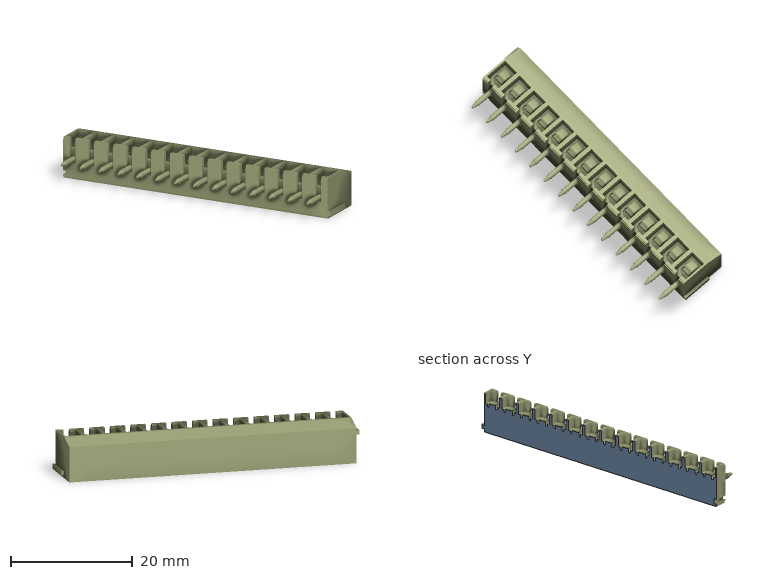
import cadquery as cq


OVERALL_LENGTH = 50.0
POLE_COUNT = 14
PITCH = 3.5
LENGTH = POLE_COUNT * PITCH
DEPTH = 8.4
HEIGHT = 7.0
ROOF_DEPTH = 3.05
ROOF_DROP = 1.05
FRONT_STEP_DEPTH = 0.15
FRONT_STEP_HEIGHT = 0.3

UPPER_RAIL_REACH = 0.5
UPPER_RAIL_ROOT = 0.55
UPPER_RAIL_FLARE = 0.1
UPPER_RAIL_Z = 5.15
LOWER_RAIL_REACH = OVERALL_LENGTH - LENGTH - UPPER_RAIL_REACH
LOWER_RAIL_ROOT = 0.6
LOWER_RAIL_FLARE = 0.15
LOWER_RAIL_Z = 0.9
LOWER_RAIL_DEPTH = 5.3
GROOVE_REACH = 0.5

POCKET_WIDTH = 2.85
POCKET_DEPTH = 1.8
POCKET_FRONT = 0.75
POCKET_BACK = 4.8
POCKET_FLOOR = HEIGHT - POCKET_DEPTH
SLOT_WIDTH = 1.05
SLOT_FLOOR = 2.7

ENTRY_DIAMETER = 2.05
ENTRY_DEPTH = 0.5
ENTRY_Y = 2.25
LEAF_WIDTH = 1.5
LEAF_FRONT = 2.05
LEAF_BACK = 4.5
BEND_START = (2.5, 0.3)
BEND_PEAK = (2.85, 0.6)
BEND_END = (3.25, 0.55)
LEAF_HEEL = (4.15, 0.25)

PIN_DIAMETER = 0.9
PIN_REACH = 2.7
PIN_Z = 3.4
TIP_BASE_DIAMETER = 0.8
TIP_END_DIAMETER = 0.4
OVERALL_DEPTH = 12.2
TIP_LENGTH = OVERALL_DEPTH - DEPTH - PIN_REACH


def box(x_range, y_range, z_range):
    """Box spanning the given coordinate ranges."""
    size = [end - start for start, end in (x_range, y_range, z_range)]
    corner = (x_range[0], y_range[0], z_range[0])
    return cq.Workplane("XY").box(*size, centered=False).translate(corner)


def housing():
    """Long block with a sloped rear roof and stepped front edges."""
    return (
        cq.Workplane("YZ")
        .moveTo(FRONT_STEP_DEPTH, 0)
        .lineTo(DEPTH, 0)
        .lineTo(DEPTH, HEIGHT - ROOF_DROP)
        .lineTo(DEPTH - ROOF_DEPTH, HEIGHT)
        .lineTo(FRONT_STEP_DEPTH, HEIGHT)
        .lineTo(FRONT_STEP_DEPTH, HEIGHT - FRONT_STEP_HEIGHT)
        .lineTo(0, HEIGHT - FRONT_STEP_HEIGHT)
        .lineTo(0, FRONT_STEP_HEIGHT)
        .lineTo(FRONT_STEP_DEPTH, FRONT_STEP_HEIGHT)
        .close()
        .extrude(LENGTH)
    )


def dovetail(root_x, tip_x, z_mid, root_height, flare, y_range):
    """Rail along Y that widens from its root to its tip."""
    root_half = root_height / 2
    tip_half = root_half + flare
    y_start, y_end = y_range
    return (
        cq.Workplane("XZ", origin=(0, y_end, z_mid))
        .moveTo(root_x, -root_half)
        .lineTo(tip_x, -tip_half)
        .lineTo(tip_x, tip_half)
        .lineTo(root_x, root_half)
        .close()
        .extrude(y_end - y_start)
    )


def pole_cutout(x_mid):
    """Top pocket, front slot and blind wire entry of one pole."""
    half_pocket = POCKET_WIDTH / 2
    half_slot = SLOT_WIDTH / 2
    pocket = box(
        (x_mid - half_pocket, x_mid + half_pocket),
        (POCKET_FRONT, POCKET_BACK),
        (POCKET_FLOOR, HEIGHT),
    )
    slot = box(
        (x_mid - half_slot, x_mid + half_slot),
        (0, POCKET_FRONT),
        (SLOT_FLOOR, HEIGHT),
    )
    entry = (
        cq.Workplane("XY", origin=(x_mid, ENTRY_Y, POCKET_FLOOR - ENTRY_DEPTH))
        .circle(ENTRY_DIAMETER / 2)
        .extrude(ENTRY_DEPTH)
    )
    return pocket.union(slot).union(entry)


def clamp_leaf(x_mid):
    """Bent leaf rising from the pocket floor, with its front foot in the wire entry."""
    return (
        cq.Workplane("YZ", origin=(x_mid - LEAF_WIDTH / 2, 0, POCKET_FLOOR))
        .moveTo(LEAF_FRONT, -ENTRY_DEPTH)
        .lineTo(LEAF_FRONT, 0)
        .lineTo(*BEND_START)
        .threePointArc(BEND_PEAK, BEND_END)
        .lineTo(*LEAF_HEEL)
        .lineTo(LEAF_BACK, 0)
        .lineTo(LEAF_BACK, -ENTRY_DEPTH)
        .close()
        .extrude(LEAF_WIDTH)
    )


def pin(x_mid):
    """Round pin standing out of the slot's back wall, with a stepped, tapered tip."""
    pin_radius = PIN_DIAMETER / 2
    tip_base_radius = TIP_BASE_DIAMETER / 2
    tip_end_radius = TIP_END_DIAMETER / 2
    shoulder_y = -PIN_REACH
    tip_y = shoulder_y - TIP_LENGTH
    return (
        cq.Workplane("XY")
        .moveTo(0, POCKET_FRONT)
        .lineTo(pin_radius, POCKET_FRONT)
        .lineTo(pin_radius, shoulder_y)
        .lineTo(tip_base_radius, shoulder_y)
        .lineTo(tip_end_radius, tip_y)
        .lineTo(0, tip_y)
        .close()
        .revolve(360, (0, 0, 0), (0, 1, 0))
        .translate((x_mid, 0, PIN_Z))
    )


upper_rail = dovetail(
    0, -UPPER_RAIL_REACH, UPPER_RAIL_Z, UPPER_RAIL_ROOT, UPPER_RAIL_FLARE, (DEPTH - ROOF_DEPTH, DEPTH)
)
lower_rail = dovetail(
    LENGTH, LENGTH + LOWER_RAIL_REACH, LOWER_RAIL_Z, LOWER_RAIL_ROOT, LOWER_RAIL_FLARE, (0, LOWER_RAIL_DEPTH)
)
lower_groove = dovetail(
    0, GROOVE_REACH, LOWER_RAIL_Z, LOWER_RAIL_ROOT, LOWER_RAIL_FLARE, (0, LOWER_RAIL_DEPTH)
)

result = housing().union(upper_rail).union(lower_rail).cut(lower_groove)
for pole in range(POLE_COUNT):
    pole_x = (pole + 0.5) * PITCH
    result = result.cut(pole_cutout(pole_x))
    result = result.union(clamp_leaf(pole_x)).union(pin(pole_x))